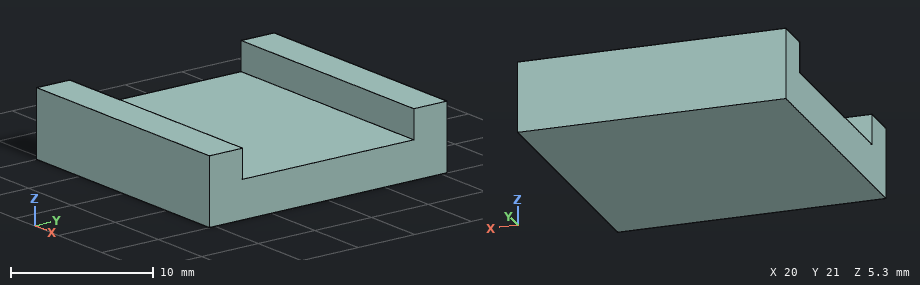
import cadquery as cq

length = 20.0
width = 21.0
height = 5.3
rail_width = 2.95
floor_thickness = 3.0

channel_width = width - 2 * rail_width
channel_depth = height - floor_thickness

block = cq.Workplane("XY").box(length, width, height, centered=(True, True, False))

channel = (
    cq.Workplane("XY")
    .workplane(offset=floor_thickness)
    .box(length, channel_width, channel_depth, centered=(True, True, False))
)

result = block.cut(channel)